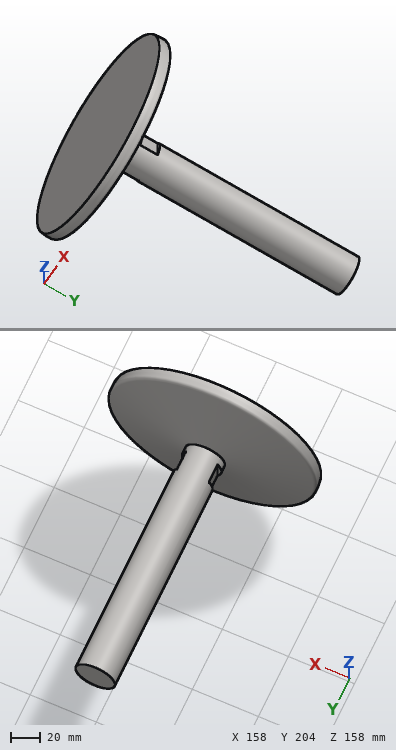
import cadquery as cq
import math

total_length = 204.0
stem_radius = 30.0 / 2
rim_radius = 158.0 / 2
sole_radius = 157.0 / 2
rim_start = 4.3
rim_end = 7.3
shoulder_radius = 2.5
cone_angle = math.radians(10)
flat_spacing = 24.0
flat_start = 26.5
flat_length = 14.5


def shoulder_point(angle):
    """Point on the shoulder round, with the angle measured from the radial direction."""
    radius = rim_radius - shoulder_radius + shoulder_radius * math.cos(angle)
    height = rim_end + shoulder_radius * math.sin(angle)
    return radius, height


tangent_angle = math.pi / 2 - cone_angle
cone_start = shoulder_point(tangent_angle)
cone_top = cone_start[1] + (cone_start[0] - stem_radius) * math.tan(cone_angle)

inset = rim_radius - sole_radius
edge_radius = (inset**2 + rim_start**2) / (2 * inset)
half_angle = math.asin(rim_start / edge_radius) / 2
lower_edge_middle = (
    rim_radius - edge_radius + edge_radius * math.cos(half_angle),
    rim_start - edge_radius * math.sin(half_angle),
)

body = (
    cq.Workplane("XY")
    .lineTo(sole_radius, 0)
    .threePointArc(lower_edge_middle, (rim_radius, rim_start))
    .lineTo(rim_radius, rim_end)
    .threePointArc(shoulder_point(tangent_angle / 2), cone_start)
    .lineTo(stem_radius, cone_top)
    .lineTo(stem_radius, total_length)
    .lineTo(0, total_length)
    .close()
    .revolve(360, (0, 0, 0), (0, 1, 0))
)


def flat_cutter(side):
    """Block that removes the stem outside one wrench flat; side is -1 or +1."""
    block_width = stem_radius
    return cq.Workplane("XY").box(
        block_width, flat_length, 2 * stem_radius, centered=(True, False, True)
    ).translate((side * (flat_spacing + block_width) / 2, flat_start, 0))


result = body
for side in (-1, 1):
    result = result.cut(flat_cutter(side))